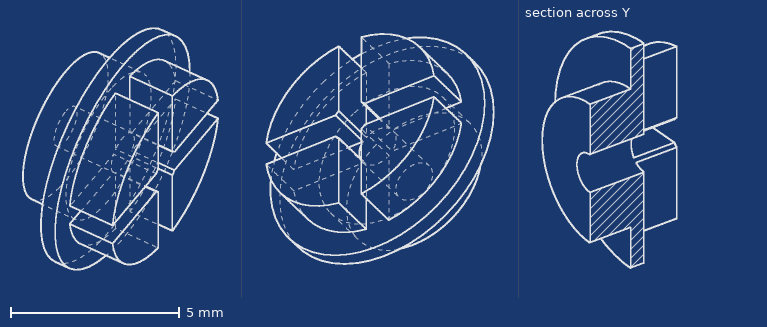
import cadquery as cq

flange_diameter = 7.6
flange_thickness = 0.5
hub_diameter = 4.8
hub_length = 1.5
crown_diameter = 6.0
crown_length = 1.5
bore_diameter = 1.3
slot_width = 0.8

flange_start = hub_length
crown_start = flange_start + flange_thickness
total_length = crown_start + crown_length


def cylinder_along_x(diameter, start, length):
    """Solid cylinder on the X axis, from `start` towards +X."""
    return cq.Workplane("YZ").workplane(offset=start).circle(diameter / 2).extrude(length)


def crown_slot(size_y, size_z):
    """Cutter that spans the full length of the crown, down to the flange face."""
    return (
        cq.Workplane("YZ")
        .workplane(offset=crown_start)
        .rect(size_y, size_z)
        .extrude(crown_length)
    )


def slotted_crown():
    """Crown divided into four quadrants by two crossing slots."""
    crown = cylinder_along_x(crown_diameter, crown_start, crown_length)
    crown = crown.cut(crown_slot(crown_diameter, slot_width))
    return crown.cut(crown_slot(slot_width, crown_diameter))


hub = cylinder_along_x(hub_diameter, 0, hub_length)
flange = cylinder_along_x(flange_diameter, flange_start, flange_thickness)
bore = cylinder_along_x(bore_diameter, 0, total_length)

result = hub.union(flange).union(slotted_crown()).cut(bore)